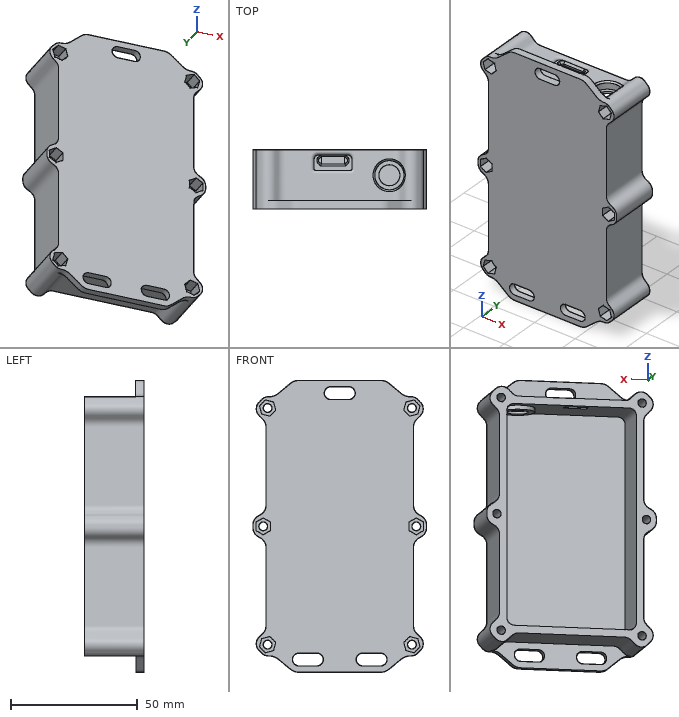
import cadquery as cq
import math


length = 115.0
width = 68.4
depth = 23.5
front_y = -depth / 2
back_y = depth / 2

body_half_width = 29.1
body_half_length = 47.4
wall = 3.0
cavity_corner_radius = 3.0

boss_radius = 3.7
boss_root_radius = 4.0
side_boss_radius = 4.0
side_boss_tip_half = 2.9
side_boss_root_half = 5.9
corner_boss_half_width = 4.5
corner_boss_reach = 4.0
corner_boss_angle = 45

side_screw_x = 30.1
corner_screw_x = 28.4
corner_screw_z = 46.6
screw_diameter = 3.3
nut_sides = 6
nut_across_flats = 5.8
nut_depth = 6.9

top_tab_thickness = 3.5
bottom_tab_thickness = 3.2
tab_end_half = 17.9
tab_root_half = 25.8
tab_end_radius = 5.1
tab_root_radius = 5.8

slot_length = 12.1
slot_width = 5.0
slot_z = 52.4
bottom_slot_x = 12.5

port_x = -2.6
port_y = 6.5
port_width = 17.6
port_height = 8.7
port_back_radius = 3.0
port_front_radius = 1.8
port_smallest_radius = 0.2
port_rim_width = 0.7
port_rim_radius = 1.3
port_floor_inset = 1.4
port_floor_depth = 1.0
socket_y = 7.5
socket_width = 12.6
socket_height = 4.3
socket_corner_x = 1.4
socket_corner_y = 1.4
socket_inset = 0.7
socket_depth = 1.0
opening_width = 9.2

jack_x = 19.5
jack_y = 1.6
jack_recess_radius = 5.8
jack_chamfer = 0.7
jack_hole_radius = 4.1
jack_recess_depth = 3.6
jack_floor = 1.0
jack_pad_radius = jack_recess_radius + jack_floor

edge_margin = 0.1

diagonal = math.sqrt(0.5)

boss_arc_out = corner_boss_reach - boss_radius
boss_arc_across = corner_boss_half_width - boss_radius
boss_peak_x = corner_screw_x + (boss_arc_out - boss_arc_across) * diagonal
boss_peak_z = corner_screw_z + (boss_arc_out + boss_arc_across) * diagonal + boss_radius


def rounded_outline(plane, corners):
    """Closed outline through (u, v, rounding) corners of a workplane; rounding 0 leaves a sharp corner."""
    outline = plane
    for index, (u, v, rounding) in enumerate(corners):
        corner = cq.Vector(u, v)
        to_last = (cq.Vector(*corners[index - 1][:2]) - corner).normalized()
        to_next = (cq.Vector(*corners[(index + 1) % len(corners)][:2]) - corner).normalized()
        half_angle = to_last.getAngle(to_next) / 2
        setback = rounding / math.tan(half_angle)
        start = corner + to_last * setback
        outline = outline.moveTo(start.x, start.y) if index == 0 else outline.lineTo(start.x, start.y)
        if rounding > 0:
            end = corner + to_next * setback
            inward = (to_last + to_next).normalized()
            middle = corner + inward * (rounding / math.sin(half_angle) - rounding)
            outline = outline.threePointArc((middle.x, middle.y), (end.x, end.y))
    return outline.close()


def front_prism(corners, thickness):
    """Prism that grows back from the front face, with corners given as (x, z, rounding)."""
    return rounded_outline(cq.Workplane("XZ", origin=(0, front_y, 0)), corners).extrude(-thickness)


def mirror_corners(corners, x_sign, z_sign):
    """Mirrored copy of the corners, listed in reverse so that the outline continues."""
    return [(x_sign * x, z_sign * z, rounding) for x, z, rounding in reversed(corners)]


def from_corner_screw(out, across):
    """Point at a distance out along, and across, the 45 degree line of the +X +Z corner boss."""
    x = corner_screw_x + (out - across) * diagonal
    z = corner_screw_z + (out + across) * diagonal
    return x, z


def case_body():
    tip_top = from_corner_screw(corner_boss_reach, corner_boss_half_width)
    tip_side = from_corner_screw(corner_boss_reach, -corner_boss_half_width)
    root_top_x = tip_top[0] - (tip_top[1] - body_half_length)
    root_side_z = tip_side[1] - (tip_side[0] - body_half_width)
    quarter = [
        (root_top_x, body_half_length, boss_root_radius),
        (*tip_top, boss_radius),
        (*tip_side, boss_radius),
        (body_half_width, root_side_z, boss_root_radius),
        (body_half_width, side_boss_root_half, boss_root_radius),
        (width / 2, side_boss_tip_half, side_boss_radius),
    ]
    right = quarter + mirror_corners(quarter, 1, -1)
    return front_prism(right + mirror_corners(right, -1, 1), depth)


def mounting_tab(end, thickness):
    """Tab at the top (end = 1) or the bottom (end = -1)."""
    right = [
        (tab_end_half, end * length / 2, tab_end_radius),
        (tab_root_half, end * boss_peak_z, tab_root_radius),
        (boss_peak_x, end * boss_peak_z, 0),
        (boss_peak_x, end * (body_half_length - wall), 0),
    ]
    return front_prism(right + mirror_corners(right, -1, 1), thickness)


def cavity():
    return (
        cq.Workplane("XZ", origin=(0, back_y, 0))
        .rect(2 * (body_half_width - wall), 2 * (body_half_length - wall))
        .extrude(depth - wall)
        .edges("|Y")
        .fillet(cavity_corner_radius)
    )


def strap_slots():
    centres = [(0, slot_z), (-bottom_slot_x, -slot_z), (bottom_slot_x, -slot_z)]
    return (
        cq.Workplane("XZ", origin=(0, front_y, 0))
        .pushPoints(centres)
        .slot2D(slot_length, slot_width)
        .extrude(-depth)
    )


def screw_hole(x, z, outward_angle):
    """Through hole with a nut pocket that has one flat facing outward."""
    face = cq.Workplane("XZ", origin=(x, front_y, z))
    hole = face.circle(screw_diameter / 2).extrude(-depth)
    flat_to_corner = 180 / nut_sides
    nut_corner_diameter = nut_across_flats / math.cos(math.radians(flat_to_corner))
    pocket = face.transformed(rotate=(0, 0, outward_angle + flat_to_corner))
    pocket = pocket.polygon(nut_sides, nut_corner_diameter)
    return hole.union(pocket.extrude(-nut_depth))


def top_plane(x, y, below=0):
    """Workplane facing up, a given distance below the outer face of the top wall."""
    return cq.Workplane("XY", origin=(x, y, body_half_length - below))


def port_section(inset):
    """Corners of the port outline, rounded more at the back than at the front."""
    half_x = port_width / 2 - inset
    half_y = port_height / 2 - inset
    back = max(port_back_radius - inset, port_smallest_radius)
    front = max(port_front_radius - inset, port_smallest_radius)
    return [
        (-half_x, -half_y, front),
        (half_x, -half_y, front),
        (half_x, half_y, back),
        (-half_x, half_y, back),
    ]


def port_recess():
    """Recess that narrows from its mouth down to its floor."""
    mouth = rounded_outline(top_plane(port_x, port_y), port_section(port_rim_width))
    floor = mouth.workplane(offset=-port_floor_depth)
    return rounded_outline(floor, port_section(port_floor_inset)).loft(ruled=True)


def connector_socket():
    """Octagonal funnel in the port floor, with a rectangular opening into the case."""
    socket_plane = top_plane(port_x, socket_y, port_floor_depth)
    half_x = socket_width / 2
    half_y = socket_height / 2
    quarter = [(half_x, half_y - socket_corner_y, 0), (half_x - socket_corner_x, half_y, 0)]
    upper = quarter + mirror_corners(quarter, -1, 1)
    socket_corners = upper + mirror_corners(upper, 1, -1)
    draft = math.degrees(math.atan(socket_inset / socket_depth))
    socket = rounded_outline(socket_plane, socket_corners).extrude(-socket_depth, taper=draft)
    opening = socket_plane.rect(opening_width, socket_height - 2 * socket_inset).extrude(-wall)
    return socket.union(opening)


def jack_pad():
    """Thicker wall inside the case, carrying the floor of the jack recess."""
    pad_depth = jack_recess_depth + jack_floor
    return top_plane(jack_x, jack_y, pad_depth).circle(jack_pad_radius).extrude(pad_depth - wall / 2)


def jack_recess():
    """Recess in the top wall that also clears the boss rising beside it."""
    height = jack_recess_depth + boss_peak_z - body_half_length
    return top_plane(jack_x, jack_y, jack_recess_depth).circle(jack_recess_radius).extrude(height)


def jack_hole():
    hole_depth = jack_recess_depth + jack_floor
    return top_plane(jack_x, jack_y, hole_depth).circle(jack_hole_radius).extrude(hole_depth)


def mouth_edges(part, x, y, half_x, half_y):
    """Edges around an opening of the top wall, up to the height of the boss peaks."""
    low = (x - half_x, y - half_y, body_half_length - edge_margin)
    high = (x + half_x, y + half_y, boss_peak_z)
    return part.edges(cq.selectors.BoxSelector(low, high))


result = case_body()
result = result.union(mounting_tab(1, top_tab_thickness)).union(mounting_tab(-1, bottom_tab_thickness))
result = result.cut(cavity()).union(jack_pad())

result = result.cut(port_recess())
result = mouth_edges(result, port_x, port_y, port_width / 2, port_height / 2).fillet(port_rim_radius)
result = result.cut(jack_recess())
jack_reach = jack_recess_radius + edge_margin
result = mouth_edges(result, jack_x, jack_y, jack_reach, jack_reach).chamfer(jack_chamfer)

result = result.cut(strap_slots()).cut(connector_socket()).cut(jack_hole())

for side in (-1, 1):
    result = result.cut(screw_hole(side * side_screw_x, 0, 0))
    for end in (-1, 1):
        outward_angle = side * end * corner_boss_angle
        result = result.cut(screw_hole(side * corner_screw_x, end * corner_screw_z, outward_angle))